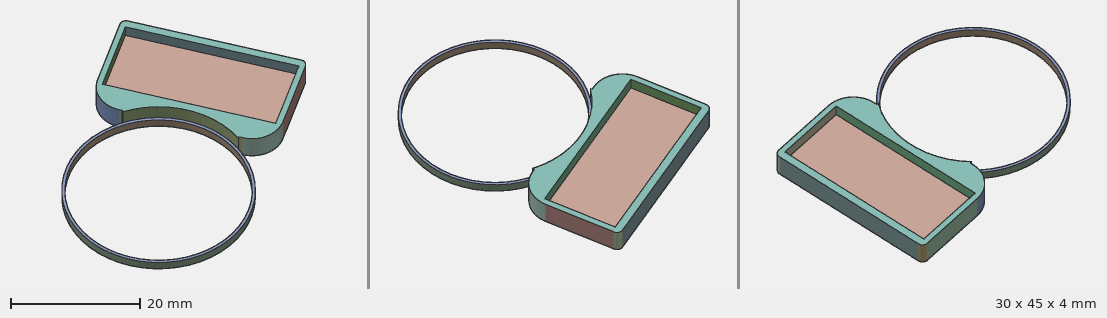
import cadquery as cq

overall_length = 44.95
overall_height = 4.0

ring_radius = overall_length / 3
ring_thickness = 0.5
ring_height = 1.5

plate_width = 2 * ring_radius
plate_length = 18.0
far_corner_radius = 1.0
near_corner_radius = 5.0
root_fillet_radius = 0.2

pocket_width = 28.0
pocket_length = 12.35
pocket_depth = 2.0
far_wall = 1.3

plate_far_y = overall_length - ring_radius
plate_near_y = plate_far_y - plate_length
pocket_center_y = plate_far_y - far_wall - pocket_length / 2


def cylinder(radius, height):
    """Upright cylinder centred on the ring axis."""
    return cq.Workplane("XY").circle(radius).extrude(height)


def make_plate():
    """Rounded plate with a concave edge that follows the ring's outer wall."""
    plate = (
        cq.Workplane("XY")
        .center(0, plate_near_y + plate_length / 2)
        .rect(plate_width, plate_length)
        .extrude(overall_height)
    )
    plate = plate.edges("|Z and >Y").fillet(far_corner_radius)
    plate = plate.edges("|Z and <Y").fillet(near_corner_radius)

    disc = cylinder(ring_radius, overall_height)
    root_x = (ring_radius**2 - plate_near_y**2) ** 0.5
    blended = plate.union(disc)
    for side in (-1, 1):
        root = cq.selectors.NearestToPointSelector((side * root_x, plate_near_y, overall_height / 2))
        blended = blended.edges("|Z").edges(root).fillet(root_fillet_radius)
    return blended.cut(disc)


def make_pocket():
    """Rectangular recess open at the top of the plate."""
    return (
        cq.Workplane("XY", origin=(0, pocket_center_y, overall_height - pocket_depth))
        .rect(pocket_width, pocket_length)
        .extrude(pocket_depth)
    )


def make_ring():
    """Thin, low ring that carries the plate."""
    bore = cylinder(ring_radius - ring_thickness, ring_height)
    return cylinder(ring_radius, ring_height).cut(bore)


result = make_plate().cut(make_pocket()).union(make_ring())